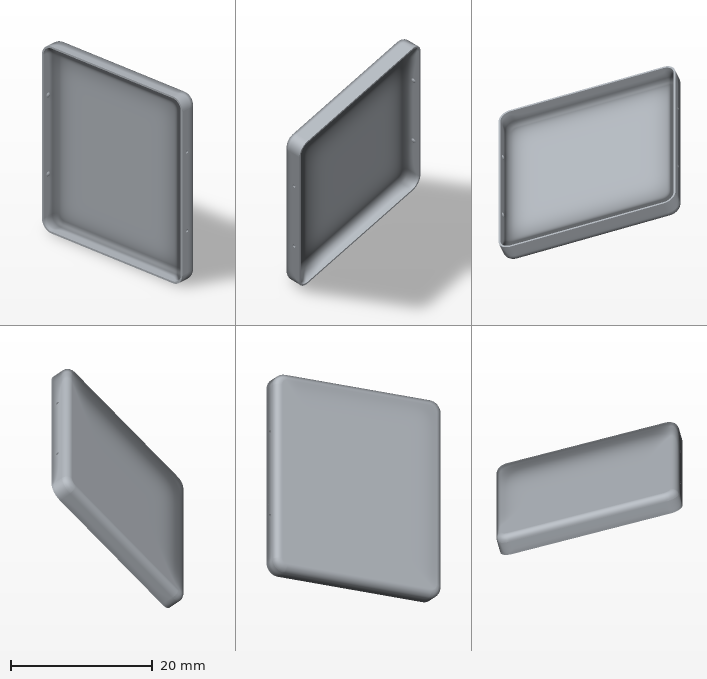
import cadquery as cq

height = 29.6
width = 26.6
depth = 2.9
wall = 0.3
corner_radius = 1.8
rim_radius = 1.0

dimple_radius = 0.25
bump_radius = 0.47
dimple_spacing = 12.5
dimple_from_open_face = 1.0

open_face_y = -depth / 2


def rounded_block(inset):
    """Block inset from the outer shell, open face at -Y, rounded at +Y."""
    block = (
        cq.Workplane("XZ", origin=(0, open_face_y, 0))
        .rect(width - 2 * inset, height - 2 * inset)
        .extrude(-(depth - inset))
    )
    block = block.edges("|Y").fillet(corner_radius - inset)
    return block.faces(">Y").edges().fillet(rim_radius - inset)


def ball(radius, side, z):
    """Sphere centred on the outer face of a side wall."""
    centre = (side * width / 2, open_face_y + dimple_from_open_face, z)
    return cq.Workplane("YZ").sphere(radius).translate(centre)


outer = rounded_block(0)
result = outer.cut(rounded_block(wall))

dimple_places = [
    (side, z)
    for side in (-1, 1)
    for z in (-dimple_spacing / 2, dimple_spacing / 2)
]
for side, z in dimple_places:
    result = result.union(ball(bump_radius, side, z).intersect(outer))
for side, z in dimple_places:
    result = result.cut(ball(dimple_radius, side, z), clean=False)